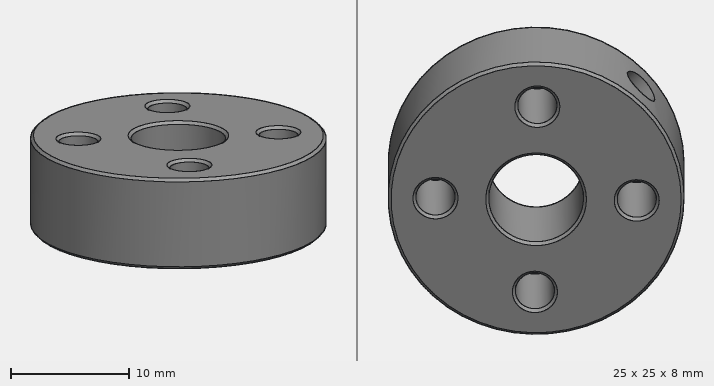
import cadquery as cq
import math

outer_diameter = 25.0
thickness = 8.0
edge_chamfer = 0.25

bore_diameter = 8.0

bolt_hole_diameter = 3.3
bolt_circle_diameter = 17.0
bolt_hole_count = 4
first_bolt_angle = 45.0

screw_hole_diameter = 3.3


def chamfered_hole_cutter(diameter, x=0.0, y=0.0):
    """Through hole along Z, widened by a chamfer at both faces."""
    radius = diameter / 2
    mouth_radius = radius + edge_chamfer
    profile = [
        (0, 0),
        (mouth_radius, 0),
        (radius, edge_chamfer),
        (radius, thickness - edge_chamfer),
        (mouth_radius, thickness),
        (0, thickness),
    ]
    cutter = cq.Workplane("XZ").polyline(profile).close().revolve(360, (0, 0), (0, 1))
    return cutter.translate((x, y, 0))


def radial_hole_cutter():
    """Cylinder from the disc axis out through the +Y side at mid height."""
    return (
        cq.Workplane("XZ")
        .center(0, thickness / 2)
        .circle(screw_hole_diameter / 2)
        .extrude(-outer_diameter)
    )


disc = cq.Workplane("XY").circle(outer_diameter / 2).extrude(thickness)
result = disc.edges().chamfer(edge_chamfer)
result = result.cut(chamfered_hole_cutter(bore_diameter))

for index in range(bolt_hole_count):
    angle = math.radians(first_bolt_angle + index * 360 / bolt_hole_count)
    bolt_x = bolt_circle_diameter / 2 * math.cos(angle)
    bolt_y = bolt_circle_diameter / 2 * math.sin(angle)
    result = result.cut(chamfered_hole_cutter(bolt_hole_diameter, bolt_x, bolt_y))

result = result.cut(radial_hole_cutter())